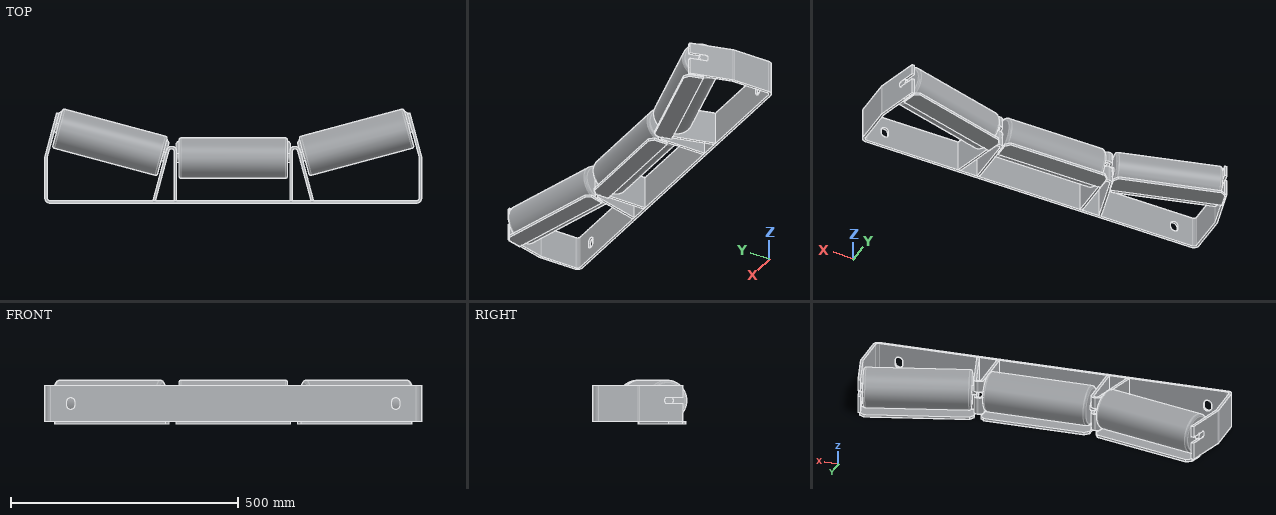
import cadquery as cq
import math

strip_thickness = 6.0
strip_height = 80.0

frame_length = 830.0
frame_outer_bend = 12.5
frame_inner_bend = frame_outer_bend - strip_thickness
frame_tip_reach = 31.5
mount_hole_x = 358.0
mount_hole_width = 18.0
mount_hole_height = 26.0

roller_radius = 45.0
roller_half_length = 119.5
roller_edge_radius = 5.0
shaft_radius = 10.0
shaft_flat_width = 14.0
axis_height = 46.5
support_half_span = 130.0
support_inner_face = support_half_span - strip_thickness

trough_angle = 15.0
middle_axis_y = 100.0
side_station_x = 271.0
side_station_y = 134.5
stations = [
    (-side_station_x, side_station_y, -trough_angle),
    (0.0, middle_axis_y, 0.0),
    (side_station_x, side_station_y, trough_angle),
]

bracket_rear_y = 125.0
bracket_outer_bend = 10.0
bracket_inner_bend = bracket_outer_bend - strip_thickness

plate_half_length = 126.0
plate_width = 42.0
plate_chamfer = 10.0


def place(body, station):
    """Turn and move a body built along X around the origin onto a roller station."""
    x, y, angle = station
    return body.rotate((0, 0, 0), (0, 0, 1), angle).translate((x, y, 0))


def left_arm_x(along, y):
    """X, at a given Y, of the line square to the left roller axis and `along` from its middle."""
    tilt = math.radians(trough_angle)
    return -side_station_x + along / math.cos(tilt) + (y - side_station_y) * math.tan(tilt)


def left_arm_y(along, x):
    """Y, at a given X, of that same line."""
    return side_station_y + (x - left_arm_x(along, side_station_y)) / math.tan(math.radians(trough_angle))


def left_arm_point(along, rearward):
    """Point in XY given along and square to the left roller axis."""
    tilt = math.radians(trough_angle)
    return (
        -side_station_x + along * math.cos(tilt) + rearward * math.sin(tilt),
        side_station_y - along * math.sin(tilt) + rearward * math.cos(tilt),
    )


def frame_arm_points(inset, tip_reach):
    """Left side of the frame outline, from rear tip to front corner, inset from the outer face."""
    wall_x = -frame_length / 2 + inset
    along = -support_half_span + inset
    return [
        left_arm_point(along, tip_reach),
        (wall_x, left_arm_y(along, wall_x)),
        (wall_x, inset),
    ]


def mirrored(points):
    """The same points on the other side of the middle plane, in reverse order."""
    return [(-x, y) for x, y in reversed(points)]


def shaft_slots():
    """Slots, open to the rear, that take the flattened shaft ends."""
    slot_half_length = support_half_span + strip_thickness
    slot = (
        cq.Workplane("XY")
        .box(2 * slot_half_length, roller_radius, shaft_flat_width, centered=(True, False, True))
        .union(flat_shaft(slot_half_length))
        .translate((0, 0, axis_height))
    )
    return [place(slot, station) for station in stations]


def bar(half_length, radius):
    """Round bar along X, centred on the origin."""
    return cq.Workplane("YZ").workplane(offset=-half_length).circle(radius).extrude(2 * half_length)


def flat_shaft(half_length):
    """Shaft along X with two flats, above and below."""
    flats = cq.Workplane("XY").box(2 * half_length, 2 * shaft_radius, shaft_flat_width)
    return bar(half_length, shaft_radius).intersect(flats)


def frame_outline(inset, tip_reach, bend_radius):
    """Solid inside the strip's outer face, inset from that face, with rounded bends."""
    arm = frame_arm_points(inset, tip_reach)
    body = cq.Workplane("XY").polyline(arm + mirrored(arm)).close().extrude(strip_height)
    tip_edges = body.edges("|Z and >Y").vals()
    bends = [edge for edge in body.edges("|Z").vals() if not any(edge.isSame(tip) for tip in tip_edges)]
    return body.newObject(bends).fillet(bend_radius)


def make_frame():
    """Bent strip with two mounting holes and a shaft slot in each side arm."""
    body = frame_outline(0, frame_tip_reach, frame_outer_bend)
    body = body.cut(frame_outline(strip_thickness, frame_tip_reach + strip_thickness, frame_inner_bend))
    holes = (
        cq.Workplane("XZ")
        .pushPoints([(x, strip_height / 2) for x in (-mount_hole_x, mount_hole_x)])
        .slot2D(mount_hole_height, mount_hole_width, 90)
        .extrude(-strip_thickness)
    )
    body = body.cut(holes)
    for slot in shaft_slots():
        body = body.cut(slot)
    return body


def bracket_outline(inset, bend_radius):
    """Solid filling the space between the two roller-side faces, inset from them and the web."""
    side_face = support_inner_face + inset
    middle_face = -support_inner_face - inset
    rear_y = bracket_rear_y - inset
    return (
        cq.Workplane("XY")
        .polyline([
            (left_arm_x(side_face, strip_thickness), strip_thickness),
            (left_arm_x(side_face, rear_y), rear_y),
            (middle_face, rear_y),
            (middle_face, strip_thickness),
        ])
        .close()
        .extrude(strip_height)
        .edges("|Z and >Y")
        .fillet(bend_radius)
    )


def make_left_bracket():
    """Folded strip between the left and middle rollers, welded to the frame's front wall."""
    body = bracket_outline(0, bracket_outer_bend)
    body = body.cut(bracket_outline(strip_thickness, bracket_inner_bend))
    for slot in shaft_slots():
        body = body.cut(slot)
    return body


def make_roller(station):
    """Drum with rounded rims on a shaft whose flattened ends fill the support slots."""
    drum = bar(roller_half_length, roller_radius).edges("%CIRCLE").fillet(roller_edge_radius)
    roller = drum.union(bar(support_inner_face, shaft_radius)).union(flat_shaft(support_half_span))
    return place(roller.translate((0, 0, axis_height)), station)


def make_tie_plate(station):
    """Flat plate under a roller, from its axis to the rear, with cut rear corners."""
    plate = (
        cq.Workplane("XY")
        .box(2 * plate_half_length, plate_width, strip_thickness, centered=(True, False, False))
        .translate((0, 0, -strip_thickness))
        .edges("|Z and >Y")
        .chamfer(plate_chamfer)
    )
    return place(plate, station)


frame = make_frame()
left_bracket = make_left_bracket()
right_bracket = left_bracket.mirror("YZ")
rollers = [make_roller(station) for station in stations]
tie_plates = [make_tie_plate(station) for station in stations]

result = cq.Compound.makeCompound(
    [body.val() for body in [frame, left_bracket, right_bracket, *rollers, *tie_plates]]
)